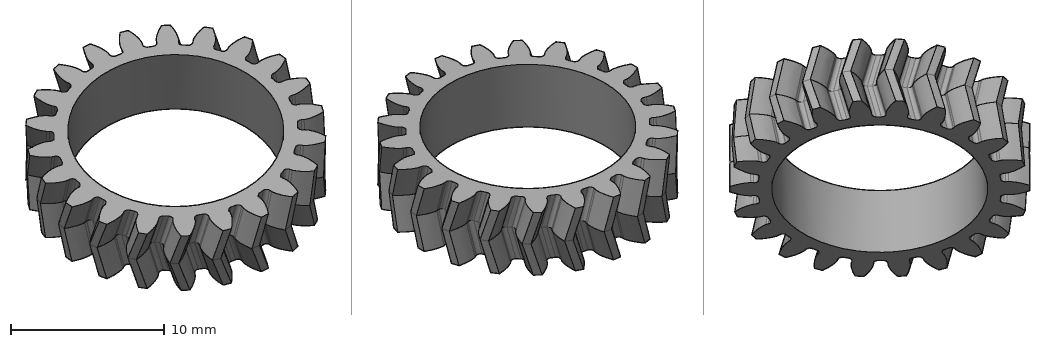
import cadquery as cq
import math

teeth = 22
tip_radius = 9.81
face_width = 5.0
bore_diameter = 14.1
pressure_angle = 20.0
helix_angle = 15.0
root_fillet = 0.3
end_face_phase = 0.5
flank_points = 6

dedendum_factor = 1.25
module = 2 * tip_radius / (teeth + 2)
pitch_radius = module * teeth / 2
root_radius = pitch_radius - dedendum_factor * module
base_radius = pitch_radius * math.cos(math.radians(pressure_angle))

half_width = face_width / 2
half_twist = math.degrees(half_width * math.tan(math.radians(helix_angle)) / pitch_radius)
middle_phase = end_face_phase - half_twist
tooth_pitch = 2 * math.pi / teeth


def polar(radius, angle):
    return (radius * math.cos(angle), radius * math.sin(angle))


def involute(radius):
    """Angle swept by the involute between the base circle and the given radius."""
    slope_angle = math.acos(base_radius / radius)
    return math.tan(slope_angle) - slope_angle


base_half_angle = tooth_pitch / 4 + involute(pitch_radius)

fillet_center_radius = root_radius + root_fillet
fillet_angle = math.asin(root_fillet / fillet_center_radius)
fillet_center_angle = base_half_angle + fillet_angle
fillet_top_radius = math.sqrt(fillet_center_radius**2 - root_fillet**2)


def fillet_middle(tooth_angle, side):
    """Point halfway along a root fillet; side is -1 or 1 for the two flanks."""
    center_angle = tooth_angle + side * fillet_center_angle
    center_x, center_y = polar(fillet_center_radius, center_angle)
    direction = center_angle - side * (fillet_angle / 2 + 3 * math.pi / 4)
    offset_x, offset_y = polar(root_fillet, direction)
    return (center_x + offset_x, center_y + offset_y)


def flank(tooth_angle, side):
    """Involute points from the base circle out to the tip, closer together near the base."""
    points = []
    for step in range(flank_points):
        radius = base_radius + (tip_radius - base_radius) * (step / (flank_points - 1)) ** 2
        points.append(polar(radius, tooth_angle + side * (base_half_angle - involute(radius))))
    return points


def add_tooth(outline, tooth_angle):
    """Continue the outline over one tooth and along the root to the next tooth."""
    rising = flank(tooth_angle, -1)
    falling = flank(tooth_angle, 1)[::-1]
    next_root = tooth_angle + tooth_pitch - fillet_center_angle
    return (
        outline.threePointArc(
            fillet_middle(tooth_angle, -1), polar(fillet_top_radius, tooth_angle - base_half_angle)
        )
        .lineTo(*rising[0])
        .spline(rising[1:], includeCurrent=True)
        .threePointArc(polar(tip_radius, tooth_angle), falling[0])
        .spline(falling[1:], includeCurrent=True)
        .lineTo(*polar(fillet_top_radius, tooth_angle + base_half_angle))
        .threePointArc(fillet_middle(tooth_angle, 1), polar(root_radius, tooth_angle + fillet_center_angle))
        .threePointArc(polar(root_radius, tooth_angle + tooth_pitch / 2), polar(root_radius, next_root))
    )


def gear_outline(phase):
    """Closed tooth outline with the middle of the first tooth at the given angle in degrees."""
    first_tooth = math.radians(phase)
    outline = cq.Workplane("XY").moveTo(*polar(root_radius, first_tooth - fillet_center_angle))
    for index in range(teeth):
        outline = add_tooth(outline, first_tooth + index * tooth_pitch)
    return outline.close()


bore = cq.Workplane("XY").circle(bore_diameter / 2).extrude(half_width)
upper_half = gear_outline(middle_phase).twistExtrude(half_width, half_twist).cut(bore)
lower_half = upper_half.mirror("XY")

result = upper_half.union(lower_half, glue=True)